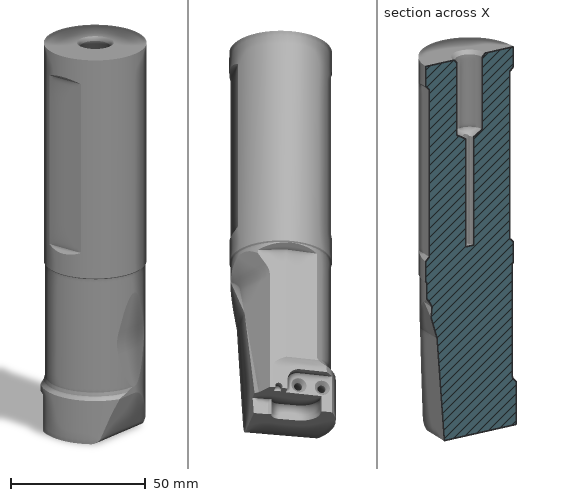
import cadquery as cq
import math

total_length = 151.4
shank_radius = 19.1
shank_bottom = 65.1
neck_radius = 18.6
head_radius = 20.5
head_top = 17.1
collar_rise = 1.4
far = 60.5
slab_width = 4 * far

clamp_half_width = 7.5
clamp_bottom = 75.0
clamp_top = 141.7
clamp_ramp = 1.7

bore_radius = 5.5
bore_chamfer = 1.4
bore_depth = 30.3
bore_tip_angle = 118.0
coolant_radius = 1.7
coolant_depth = 45.4
branch_radius = 1.2
branch_x = 1.5
branch_y = 0.5

flat_lean = math.tan(math.radians(3.0))
back_lean = math.tan(math.radians(6.0))
neck_flat_x = -15.7
flat_split_y = 0.9
neck_flat_top = 63.0
neck_flat_bottom = 19.0
flat_end_angle = 30.0
head_flat_x = -15.0
head_flat_top = 15.5

seat_x = -11.7
seat_top = 14.7
seat_end_y = 0.3
seat_corner_radius = 4.8
screw_y = (-4.7, -13.6)
screw_z = 9.7
screw_radius = 1.5
screw_sink_radius = 2.9
screw_depth = 7.5
pin_radius = 1.4
pin_depth = 3.0
pin_y = 3.6
pin_z = 6.8

pocket_height = 6.2
pocket_floor_x = -1.5
pocket_low_y = -13.3
pocket_low_radius = 7.3
pocket_high_y = 4.5
pocket_high_radius = 3.6
pocket_ledge_x = -4.7
pocket_ledge_y = 5.8

flute_angle = 31.0
flute_start_x = -15.5
flute_start_y = 6.8
ramp_bottom = 54.5
ramp_slope = 0.55
ramp_fillet = 9.1
back_top_z = 56.8
back_bend_y = 14.2
back_bend_z = 41.6
back_end_y = 11.0
flute_wall_turn = 41.0
flute_wall_x = -11.0
flute_wall_lean = 0.07

notch_top = 56.8
notch_bottom = 19.7
notch_depth = 2.0
notch_fillet = 37.8
taper_angle = 15.8
taper_corner_radius = 3.0


def lean_x(x_at_origin, y):
    """X of a leaning -X flat at the given Y."""
    return x_at_origin - flat_lean * y


def vertical_prism(points, bottom, top):
    """Prism on an XY outline between two heights."""
    return cq.Workplane("XY").workplane(offset=bottom).polyline(points).close().extrude(top - bottom)


edge_break = shank_radius - neck_radius
body = (
    cq.Workplane("XZ")
    .polyline([
        (0, 0), (neck_radius, 0), (neck_radius, shank_bottom - edge_break),
        (shank_radius, shank_bottom), (shank_radius, total_length), (0, total_length),
    ])
    .close()
    .revolve(360, (0, 0, 0), (0, 1, 0))
)

collar_mid_z = head_top + collar_rise
collar_top_z = head_top + 2 * collar_rise
bulge = (
    cq.Workplane("XZ")
    .polyline([
        (0, 0), (head_radius, 0), (head_radius, head_top),
        (shank_radius, collar_mid_z), (neck_radius, collar_top_z), (0, collar_top_z),
    ])
    .close()
    .revolve(360, (0, 0, 0), (0, 1, 0))
)
bulge_zone = vertical_prism([(-far, 0), (neck_radius, 0), (neck_radius, -far), (-far, -far)], 0, far)
body = body.union(bulge.intersect(bulge_zone))


clamp_y = math.sqrt(shank_radius**2 - clamp_half_width**2)
clamp_cut = (
    cq.Workplane("YZ")
    .polyline([
        (clamp_y, clamp_bottom), (clamp_y + clamp_ramp, clamp_bottom - clamp_ramp),
        (clamp_y + clamp_ramp, clamp_top + clamp_ramp), (clamp_y, clamp_top),
    ])
    .close()
    .extrude(clamp_half_width, both=True)
)
body = body.cut(clamp_cut).cut(clamp_cut.mirror("XZ"))


bore_floor = total_length - bore_depth
bore_tip = bore_floor - bore_radius / math.tan(math.radians(bore_tip_angle / 2))
bore = (
    cq.Workplane("XZ")
    .polyline([
        (0, bore_tip), (bore_radius, bore_floor), (bore_radius, total_length - bore_chamfer),
        (bore_radius + bore_chamfer, total_length), (0, total_length),
    ])
    .close()
    .revolve(360, (0, 0, 0), (0, 1, 0))
)
body = body.cut(bore)
for x, y, radius in [(0, 0, coolant_radius), (branch_x, branch_y, branch_radius)]:
    coolant_start = cq.Workplane("XY").workplane(offset=bore_floor).center(x, y)
    body = body.cut(coolant_start.circle(radius).extrude(-coolant_depth))


split_x = lean_x(neck_flat_x, flat_split_y)
neck_flats = vertical_prism(
    [
        (-far, -far), (lean_x(neck_flat_x, -far), -far), (split_x, flat_split_y),
        (split_x + back_lean * (far - flat_split_y), far), (-far, far),
    ],
    0, shank_bottom,
)
flat_end_slope = math.tan(math.radians(flat_end_angle))
flat_end = (
    cq.Workplane("XZ")
    .polyline([
        (0, 0), (0, neck_flat_top + flat_end_slope * split_x),
        (-far, neck_flat_top + flat_end_slope * (split_x + far)), (-far, 0),
    ])
    .close()
    .extrude(far, both=True)
)
body = body.cut(neck_flats.intersect(flat_end))


step = head_flat_x - neck_flat_x
rise = neck_flat_bottom - head_flat_top
hollow_radius = (step**2 + rise**2) / (2 * step)
lean_plane = cq.Plane(origin=(0, 0, 0), xDir=(1, flat_lean, 0), normal=(flat_lean, -1, 0))
head_flat_cut = (
    cq.Workplane(lean_plane)
    .moveTo(head_flat_x, 0)
    .lineTo(head_flat_x, head_flat_top)
    .radiusArc((neck_flat_x, neck_flat_bottom), -hollow_radius)
    .lineTo(-far, neck_flat_bottom)
    .lineTo(-far, 0)
    .close()
    .extrude(far, both=True)
)
body = body.cut(head_flat_cut)


seat_cut = (
    cq.Workplane("YZ").workplane(offset=-far)
    .moveTo(-far, 0)
    .lineTo(seat_end_y, 0)
    .lineTo(seat_end_y, seat_top - seat_corner_radius)
    .radiusArc((seat_end_y - seat_corner_radius, seat_top), -seat_corner_radius)
    .lineTo(-far, seat_top)
    .close()
    .extrude(far)
)
outside_seat = vertical_prism(
    [(-far, -far), (lean_x(seat_x, -far), -far), (lean_x(seat_x, far), far), (-far, far)], 0, far
)
seat_cut = seat_cut.intersect(outside_seat)
body = body.cut(seat_cut)

sink_depth = screw_sink_radius - screw_radius
inward = cq.Vector(1, flat_lean, 0)
for y in screw_y:
    mouth = cq.Vector(lean_x(seat_x, y), y, screw_z)
    sink = cq.Solid.makeCone(screw_sink_radius, screw_radius, sink_depth, mouth, inward)
    screw_hole = cq.Solid.makeCylinder(screw_radius, screw_depth, mouth, inward).fuse(sink)
    body = body.cut(screw_hole)

pin_hole = (
    cq.Workplane("YZ").workplane(offset=-far).center(pin_y, pin_z)
    .circle(pin_radius).extrude(far + lean_x(head_flat_x, pin_y) + pin_depth)
)
body = body.cut(pin_hole)


pocket_cut = (
    cq.Workplane("XY")
    .moveTo(-far, pocket_low_y)
    .lineTo(pocket_floor_x - pocket_low_radius, pocket_low_y)
    .radiusArc((pocket_floor_x, pocket_low_y + pocket_low_radius), -pocket_low_radius)
    .lineTo(pocket_floor_x, pocket_high_y - pocket_high_radius)
    .radiusArc((pocket_floor_x - pocket_high_radius, pocket_high_y), -pocket_high_radius)
    .lineTo(pocket_ledge_x, pocket_ledge_y)
    .lineTo(pocket_ledge_x, far)
    .lineTo(-far, far)
    .close()
    .extrude(pocket_height)
)
body = body.cut(pocket_cut)


turn = math.radians(flute_angle)
floor_plane = cq.Plane(
    origin=(flute_start_x, flute_start_y, 0),
    xDir=(-math.sin(turn), math.cos(turn), 0),
    normal=(math.cos(turn), math.sin(turn), 0),
)
flute_floor_cut = (
    cq.Workplane(floor_plane)
    .polyline([
        (0, 0), (0, ramp_bottom), (far * ramp_slope, ramp_bottom + far), (far, ramp_bottom + far), (far, 0),
    ])
    .close()
    .extrude(far, both=True)
    .edges(cq.selectors.NearestToPointSelector((flute_start_x, flute_start_y, ramp_bottom)))
    .fillet(ramp_fillet)
)
wall_turn = math.radians(flute_wall_turn)
wall_normal = (-math.cos(wall_turn), math.sin(wall_turn), flute_wall_lean)
floor_slope = math.tan(turn)
wall_point = (flute_wall_x, flute_start_y + floor_slope * (flute_wall_x - flute_start_x), 0)
wall_plane = cq.Plane(origin=wall_point, normal=wall_normal)
beyond_wall = cq.Workplane(wall_plane).rect(slab_width, slab_width).extrude(far)
below_shank = cq.Workplane("XY").rect(slab_width, slab_width).extrude(shank_bottom - edge_break)
body = body.cut(flute_floor_cut.intersect(beyond_wall).intersect(below_shank))

back_cut = (
    cq.Workplane("YZ")
    .polyline([
        (back_end_y, 0), (back_bend_y, back_bend_z), (neck_radius, back_top_z), (far, back_top_z), (far, 0),
    ])
    .close()
    .extrude(far, both=True)
)
body = body.cut(back_cut)


notch_mid = (notch_top + notch_bottom) / 2
notch_cut = (
    cq.Workplane("XZ")
    .polyline([(neck_radius, notch_bottom), (neck_radius - notch_depth, notch_mid), (neck_radius, notch_top)])
    .close()
    .extrude(far, both=True)
    .edges(cq.selectors.NearestToPointSelector((neck_radius - notch_depth, 0, notch_mid)))
    .fillet(notch_fillet)
)
body = body.cut(notch_cut)

taper_foot_x = neck_radius - head_top * math.tan(math.radians(taper_angle))
taper_keep = (
    cq.Workplane("XZ")
    .polyline([(-far, 0), (taper_foot_x, 0), (neck_radius, head_top), (-far, head_top)])
    .close()
    .extrude(far, both=True)
    .edges(cq.selectors.NearestToPointSelector((taper_foot_x, 0, 0)))
    .fillet(taper_corner_radius)
)
head_zone = cq.Workplane("XY").rect(slab_width, slab_width).extrude(head_top)
body = body.cut(head_zone.cut(taper_keep))

result = body.solids()